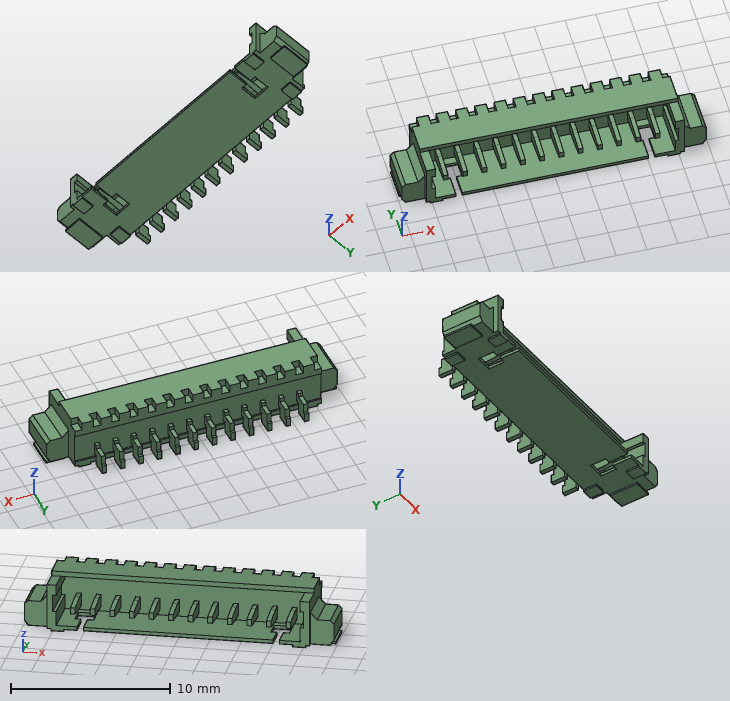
import cadquery as cq


overall_length = 19.75
body_length = 16.75
front_y = -2.7
back_y = 1.52
body_bottom = 0.14
side_top = 3.08
roof_top = 3.4
roof_front_y = -1.1
groove_half_length = 8.0
groove_bottom = 1.3
groove_top = 2.39
back_recess_depth = 0.12
back_recess_bottom = 0.47
back_recess_top = 2.49

cavity_half_length = 7.78
cavity_bottom = 0.38
cavity_back_y = 0.34

notch_width = 0.51
notch_front_y = 0.8
notch_bottom = 2.9
corner_notch_length = 0.47

slot_width = 0.41
slot_head_front_y = -1.3
slot_head_back_y = -0.15
slot_head_length = 1.18

contact_count = 12
contact_span = 13.75
contact_pitch = contact_span / (contact_count - 1)
contact_width = 0.3
contact_bottom = 0.71
contact_top = 1.48
blade_tip_y = -1.84
blade_bend_y = -0.34
blade_taper = 0.18
tail_inner_y = 1.68
tail_outer_y = 2.53
tail_top = 1.22
toe_y = 2.7
toe_top = 0.6

ear_front_y = -2.37
ear_back_y = 0.47
ear_top = 1.8
ear_root_top = 2.25
ear_root_slope_length = 0.45
ear_top_chamfer = 0.24
ear_bottom_chamfer = 0.35
tab_length = 1.26
tab_front_y = -1.68
tab_back_y = 0.35
foot_inner_x = 7.3
foot_outer_x = 8.12
front_foot_back_y = -1.75
back_foot_front_y = 0.53

body_end_x = body_length / 2
ear_end_x = overall_length / 2
contact_centres = [i * contact_pitch - contact_span / 2 for i in range(contact_count)]


def box(x_range, y_range, z_range):
    """Axis-aligned block between the given pairs of limits."""
    (x0, x1), (y0, y1), (z0, z1) = x_range, y_range, z_range
    return cq.Workplane("XY").box(x1 - x0, y1 - y0, z1 - z0, centered=False).translate((x0, y0, z0))


def both_ends(shape):
    """The shape together with its mirror image at the opposite X end."""
    return shape.union(shape.mirror("YZ"))


def centred_box(half_length, y_range, z_range):
    """Block reaching equally far to both sides of X = 0."""
    return box((-half_length, half_length), y_range, z_range)


def make_housing():
    """Open-fronted shell with a shorter roof, keyed side walls and a recessed back face."""
    shell = centred_box(body_end_x, (front_y, back_y), (body_bottom, side_top))
    roof = centred_box(body_end_x, (roof_front_y, back_y), (side_top, roof_top))
    cavity = centred_box(cavity_half_length, (front_y, cavity_back_y), (cavity_bottom, side_top))
    grooves = centred_box(groove_half_length, (front_y, cavity_back_y), (groove_bottom, groove_top))
    back_recess = centred_box(
        body_end_x, (back_y - back_recess_depth, back_y), (back_recess_bottom, back_recess_top)
    )
    return shell.cut(cavity).cut(grooves).union(roof).cut(back_recess)


def cut_top_notches(housing):
    """Notch the rear top edge above every contact and at both corners."""
    y_range = (notch_front_y, back_y)
    z_range = (notch_bottom, roof_top)
    for x in contact_centres:
        housing = housing.cut(box((x - notch_width / 2, x + notch_width / 2), y_range, z_range))
    corner = box((-body_end_x, -body_end_x + corner_notch_length), y_range, z_range)
    return housing.cut(both_ends(corner))


def make_floor_slots():
    """T-shaped slots through the floor, midway between the two outermost contacts at each end."""
    centre = (contact_centres[0] + contact_centres[1]) / 2
    stem_x_range = (centre - slot_width / 2, centre + slot_width / 2)
    head_x_range = (centre - slot_head_length / 2, centre + slot_head_length / 2)
    z_range = (body_bottom, cavity_bottom)
    stem = box(stem_x_range, (front_y, slot_head_front_y), z_range)
    head = box(head_x_range, (slot_head_front_y, slot_head_back_y), z_range)
    return both_ends(stem.union(head))


def make_contact(x):
    """Tapered blade through the back wall, with a stepped tail down to the soldering plane."""
    profile = [
        (blade_tip_y, contact_bottom + blade_taper),
        (blade_tip_y, contact_top - blade_taper),
        (blade_bend_y, contact_top),
        (tail_inner_y, contact_top),
        (tail_inner_y, tail_top),
        (tail_outer_y, tail_top),
        (tail_outer_y, toe_top),
        (toe_y, toe_top),
        (toe_y, 0),
        (tail_inner_y, 0),
        (tail_inner_y, contact_bottom),
        (blade_bend_y, contact_bottom),
    ]
    plate = cq.Workplane("YZ").polyline(profile).close().extrude(contact_width)
    return plate.translate((x - contact_width / 2, 0, 0))


def make_ears():
    """Chamfered block on each end, blending up into the side wall."""
    profile = [
        (-body_end_x, body_bottom),
        (-body_end_x, ear_root_top),
        (-body_end_x - ear_root_slope_length, ear_top),
        (-ear_end_x + ear_top_chamfer, ear_top),
        (-ear_end_x, ear_top - ear_top_chamfer),
        (-ear_end_x, body_bottom + ear_bottom_chamfer),
        (-ear_end_x + ear_top_chamfer, body_bottom),
    ]
    ear = cq.Workplane("XZ").polyline(profile).close().extrude(ear_back_y - ear_front_y)
    return both_ends(ear.translate((0, ear_back_y, 0)))


def make_supports():
    """Solder tabs under the ears and standoff feet under the body corners."""
    z_range = (0, body_bottom)
    foot_x_range = (-foot_outer_x, -foot_inner_x)
    tab = box((-ear_end_x, -ear_end_x + tab_length), (tab_front_y, tab_back_y), z_range)
    front_foot = box(foot_x_range, (front_y, front_foot_back_y), z_range)
    back_foot = box(foot_x_range, (back_foot_front_y, back_y), z_range)
    return both_ends(tab.union(front_foot).union(back_foot))


result = cut_top_notches(make_housing()).cut(make_floor_slots())
result = result.union(make_ears()).union(make_supports())
for contact_x in contact_centres:
    result = result.union(make_contact(contact_x))